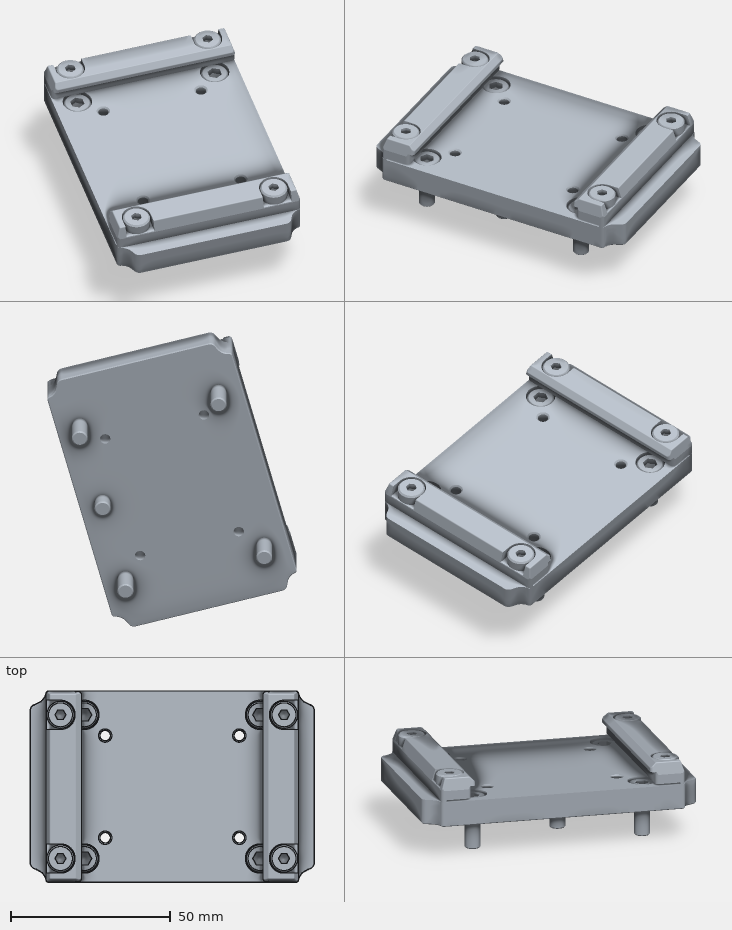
import cadquery as cq
import math

plate_length = 89.0
plate_width = 60.0
plate_thickness = 8.0
body_half_length = 39.5
body_corner_radius = 1.0
tab_edge_half_width = 23.8
tab_corner_radius = 2.0
tab_shoulder_radius = 4.0
tab_slope_angle = 25.0
plate_bottom_chamfer = 0.3

tapped_hole_x = 21.0
tapped_hole_y = 16.0
tapped_hole_diameter = 3.24
tapped_hole_mouth_diameter = 4.2
tapped_hole_mouth_angle = 90.0

screw_y = 22.5
shank_diameter = 5.0
head_diameter = 8.5
head_chamfer = 0.5
counterbore_diameter = 9.2
tip_chamfer = 0.4
socket_cone_angle = 118.0
socket_depth = 2.0
hex_sides = 6

mount_screw_x = 27.5
mount_head_height = 5.0
mount_tip_z = -9.5
mount_seat_z = 2.5
mount_hex_size = 4.0

pin_length = 5.0

clamp_screw_x = 35.0
clamp_head_height = 3.5
clamp_hex_size = 3.0
collar_diameter = 5.5

rail_gap = 0.7
rail_step_height = 3.7
rail_slot_height = 4.0
rail_height = 7.5
rail_outer_x = body_half_length
rail_inner_x = 30.0
rail_lip_thickness = 1.5
rail_outer_slope_run = 1.25
rail_end_slope_run = 1.05
rail_corner_radius = 1.0
rail_edge_radius = 0.4
hook_tip_x = 28.4
hook_bottom_height = 4.6
hook_tip_height = 5.8
hook_slope_top_x = 30.2

margin = 1.0
tolerance = 0.01

half_width = plate_width / 2
SIDES = (-1, 1)


def corners(x, y):
    """The four points placed symmetrically about both axes."""
    return [(sx * x, sy * y) for sx in SIDES for sy in SIDES]


def arc_midpoint(center, radius, start_angle, end_angle):
    """Point halfway along an arc, with angles in degrees."""
    angle = math.radians((start_angle + end_angle) / 2)
    return (center[0] + radius * math.cos(angle), center[1] + radius * math.sin(angle))


def arc_point(center, radius, angle):
    """Point on an arc at an angle in degrees."""
    return arc_midpoint(center, radius, angle, angle)


def plate_quadrant():
    """Quarter of the plate in +X +Y, with the tab's rounded shoulder."""
    tab_end_x = plate_length / 2
    slope_normal = 90 - tab_slope_angle
    tab_center = (tab_end_x - tab_corner_radius, tab_edge_half_width)
    slope_start = arc_point(tab_center, tab_corner_radius, slope_normal)

    shoulder_center_x = body_half_length + tab_shoulder_radius
    shoulder_x = shoulder_center_x - tab_shoulder_radius * math.cos(math.radians(slope_normal))
    slope_rise = (slope_start[0] - shoulder_x) * math.tan(math.radians(tab_slope_angle))
    shoulder_y = slope_start[1] + slope_rise
    shoulder_center = (
        shoulder_center_x,
        shoulder_y + tab_shoulder_radius * math.sin(math.radians(slope_normal)),
    )

    corner_y = half_width - body_corner_radius
    corner_drop = shoulder_center[1] - corner_y
    corner_reach = math.sqrt((tab_shoulder_radius + body_corner_radius) ** 2 - corner_drop ** 2)
    corner_center = (shoulder_center_x - corner_reach, corner_y)
    corner_angle = math.degrees(math.atan2(corner_drop, corner_reach))
    shoulder_end = arc_point(shoulder_center, tab_shoulder_radius, 180 + corner_angle)
    shoulder_middle = arc_midpoint(
        shoulder_center, tab_shoulder_radius, 180 + corner_angle, 180 + slope_normal
    )

    return (
        cq.Workplane("XY")
        .lineTo(tab_end_x, 0)
        .lineTo(tab_end_x, tab_edge_half_width)
        .threePointArc(arc_midpoint(tab_center, tab_corner_radius, 0, slope_normal), slope_start)
        .lineTo(shoulder_x, shoulder_y)
        .threePointArc(shoulder_middle, shoulder_end)
        .threePointArc(
            arc_midpoint(corner_center, body_corner_radius, corner_angle, 90),
            (corner_center[0], half_width),
        )
        .lineTo(0, half_width)
        .close()
        .extrude(plate_thickness)
    )


def plate():
    """Plate with end tabs, tapped holes and counterbores for the mounting screws."""
    half = plate_quadrant()
    half = half.union(half.mirror("XZ"))
    body = half.union(half.mirror("YZ")).clean()
    body = body.faces("<Z").chamfer(plate_bottom_chamfer)
    body = (
        body.faces(">Z")
        .workplane(origin=(0, 0, plate_thickness))
        .pushPoints(corners(tapped_hole_x, tapped_hole_y))
        .cskHole(tapped_hole_diameter, tapped_hole_mouth_diameter, tapped_hole_mouth_angle)
    )
    counterbores = (
        cq.Workplane("XY")
        .workplane(offset=mount_seat_z)
        .pushPoints(corners(mount_screw_x, screw_y))
        .circle(counterbore_diameter / 2)
        .extrude(plate_thickness)
    )
    return body.cut(counterbores)


def shank(bottom_z, top_z):
    """Round pin with a chamfered lower tip, on the Z axis."""
    return (
        cq.Workplane("XY")
        .workplane(offset=bottom_z)
        .circle(shank_diameter / 2)
        .extrude(top_z - bottom_z)
        .faces("<Z")
        .chamfer(tip_chamfer)
    )


def screw_head(seat_z, height, hex_size):
    """Cylinder head with a hexagon socket ending in a drill cone."""
    hex_corners = hex_size / math.cos(math.pi / hex_sides)
    cone_radius = hex_corners / 2
    cone_depth = cone_radius / math.tan(math.radians(socket_cone_angle / 2))
    top_z = seat_z + height
    floor_z = top_z - socket_depth
    head = (
        cq.Workplane("XY")
        .workplane(offset=seat_z)
        .circle(head_diameter / 2)
        .extrude(height)
        .faces(">Z")
        .chamfer(head_chamfer)
    )
    hexagon = (
        cq.Workplane("XY")
        .workplane(offset=floor_z - cone_depth)
        .polygon(hex_sides, hex_corners)
        .extrude(socket_depth + cone_depth + margin)
    )
    drill = (
        cq.Workplane("XZ")
        .moveTo(0, floor_z - cone_depth)
        .lineTo(cone_radius, floor_z)
        .lineTo(cone_radius, top_z + margin)
        .lineTo(0, top_z + margin)
        .close()
        .revolve(360, (0, 0, 0), (0, 1, 0))
    )
    return head.cut(hexagon.intersect(drill))


def rail_blank():
    """Hooked rail section along Y with rounded upright corners, on the +X side."""
    blank = (
        cq.Workplane("XZ")
        .moveTo(rail_outer_x, 0)
        .lineTo(rail_outer_x, rail_height)
        .lineTo(hook_tip_x, rail_height)
        .lineTo(hook_tip_x, hook_bottom_height)
        .lineTo(rail_inner_x, hook_bottom_height)
        .lineTo(rail_inner_x, rail_gap)
        .lineTo(rail_outer_x - rail_lip_thickness, rail_gap)
        .lineTo(rail_outer_x - rail_lip_thickness, 0)
        .close()
        .extrude(half_width, both=True)
    )
    upright = blank.edges("|Z")
    outer_corners = upright.edges(">X").vals()
    inner_corners = upright.edges(cq.selectors.BoxSelector(
        (rail_inner_x - tolerance, -plate_width, 0),
        (rail_inner_x + tolerance, plate_width, rail_height),
    )).vals()
    return blank.newObject(outer_corners + inner_corners).fillet(rail_corner_radius)


def rail_envelope():
    """Sloped faces that bound the rail above its step, with softened edges."""
    slope_height = rail_height - rail_step_height
    outer_draft = rail_outer_slope_run / slope_height
    end_draft = rail_end_slope_run / slope_height
    foot_x = rail_outer_x + outer_draft * rail_step_height
    foot_y = half_width + end_draft * rail_step_height
    section = (
        cq.Workplane("XZ")
        .moveTo(foot_x, 0)
        .lineTo(rail_outer_x - rail_outer_slope_run, rail_height)
        .lineTo(hook_slope_top_x, rail_height)
        .lineTo(hook_tip_x, hook_tip_height)
        .lineTo(hook_tip_x, 0)
        .close()
        .extrude(foot_y, both=True)
    )
    end_shape = (
        cq.Workplane("YZ")
        .polyline([
            (-foot_y, 0),
            (foot_y, 0),
            (half_width - rail_end_slope_run, rail_height),
            (-half_width + rail_end_slope_run, rail_height),
        ])
        .close()
        .extrude(plate_length)
    )
    envelope = section.intersect(end_shape)
    envelope = envelope.faces("<X").edges("not |Y").fillet(rail_corner_radius)
    outer_edges = envelope.faces(">X").edges("not |Y").vals()
    upper_edges = envelope.edges(cq.selectors.BoxSelector(
        (0, -plate_width, hook_tip_height - tolerance),
        (plate_length, plate_width, rail_height + tolerance),
    )).vals()
    return envelope.newObject(outer_edges + upper_edges).fillet(rail_edge_radius)


def screw_slot(y):
    """Round-ended slot for a clamp screw head, open to the outer side."""
    floor = cq.Workplane("XY").workplane(offset=rail_slot_height)
    pocket = floor.center(clamp_screw_x, y).circle(counterbore_diameter / 2).extrude(rail_height)
    length = rail_outer_x + margin - clamp_screw_x
    mouth = (
        floor.center(clamp_screw_x + length / 2, y)
        .rect(length, counterbore_diameter)
        .extrude(rail_height)
    )
    return pocket.union(mouth)


def clamp_rail():
    """One rail with its two screws, on the +X side and standing on z = 0."""
    rail = rail_blank().intersect(rail_envelope())
    head = screw_head(rail_slot_height, clamp_head_height, clamp_hex_size)
    collar = cq.Workplane("XY").circle(collar_diameter / 2).extrude(rail_slot_height)
    for side in SIDES:
        y = side * screw_y
        rail = rail.cut(screw_slot(y))
        rail = rail.union(head.union(collar).translate((clamp_screw_x, y, 0)))
    return rail


def assemble():
    """Plate, mounting screws, locating pin and both clamp rails as one solid."""
    part = plate()
    mount_screw = shank(mount_tip_z, mount_seat_z).union(
        screw_head(mount_seat_z, mount_head_height, mount_hex_size)
    )
    for x, y in corners(mount_screw_x, screw_y):
        part = part.union(mount_screw.translate((x, y, 0)))

    locating_pin = shank(-pin_length, mount_seat_z)
    part = part.union(locating_pin.translate((0, screw_y, 0)))

    rail = clamp_rail().translate((0, 0, plate_thickness))
    return part.union(rail).union(rail.mirror("YZ"))


result = assemble()